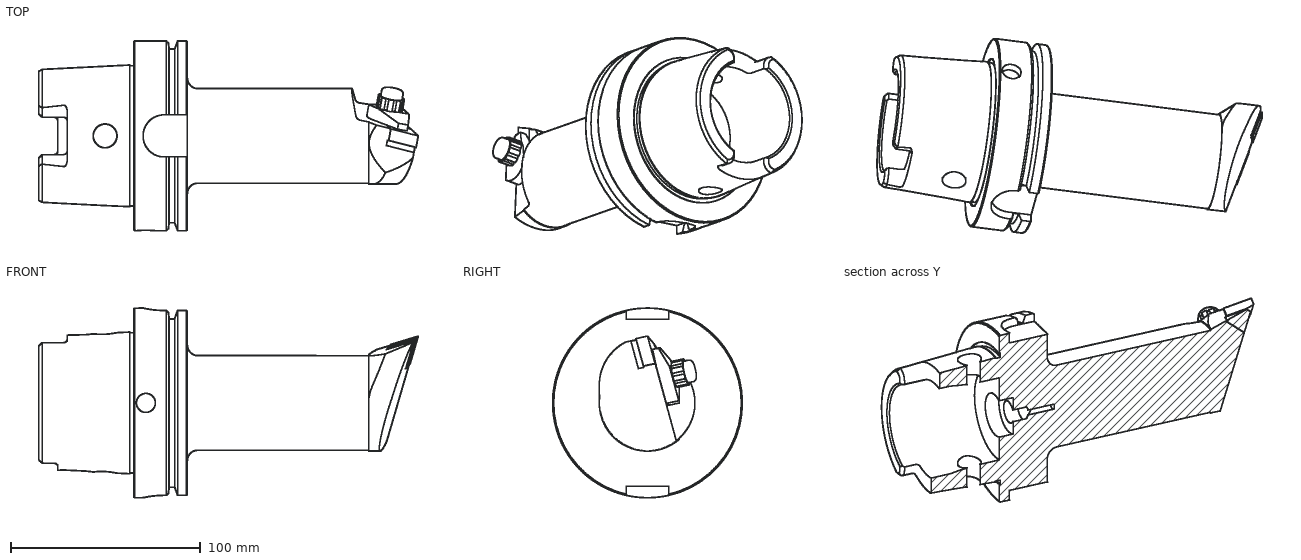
import cadquery as cq
import math


SHANK_LENGTH = 50.0
SHANK_BASE_RADIUS = 37.48
SHANK_TIP_RADIUS = 35.0
SHANK_TIP_CHAMFER = 2.0
RELIEF_WIDTH = 2.0
RELIEF_DEPTH = 0.5
FACE_RELIEF_RADIUS = 39.2
FACE_RELIEF_DEPTH = 0.5
BORE_RADIUS = 26.4
BORE_LENGTH = 21.4
MOUTH_CHAMFER = 1.0
INNER_BORE_RADIUS = 24.8
BORE_CONE_LENGTH = 13.5
WELL_RADIUS = 11.8
WELL_DEPTH = 8.0
COOLANT_RADIUS = 6.0
COOLANT_DEPTH = 16.0
OUTLET_RADIUS = 2.2
OUTLET_OFFSET = 3.2
OUTLET_DEPTH = 24.0
CROSS_HOLE_RADIUS = 6.2
CROSS_HOLE_X = -15.0

KEY_HALF_WIDTH = 9.8
KEY_LIP_RADIUS = 5.5
KEY_LIP_HEIGHT = 31.8
KEY_ROOT_FILLET = 1.8
KEY_END_CHAMFER = 1.8
KEY_DEPTH_TOP = 15.0
KEY_DEPTH_BOTTOM = 10.0

FLANGE_RADIUS = 50.0
FLANGE_LENGTH = 28.4
FLANGE_CHAMFER = 0.5
GROOVE_X = 20.2
GROOVE_BOTTOM_RADIUS = 45.8
GROOVE_BOTTOM_HALF = 1.4
GROOVE_TOP_HALF = 3.0
GROOVE_LEAD_CHAMFER = 1.2
SLOT_HALF_WIDTH = 11.1
SLOT_START_X = 5.0
SLOT_FLOOR_HEIGHT = 44.0
CHIP_HOLE_X = 6.5
CHIP_HOLE_RADIUS = 5.0
CHIP_HOLE_DEPTH = 4.5

NECK_RADIUS = 25.0
NECK_FILLET = 5.4
NECK_END_X = 123.7
HEAD_RADIUS = 25.4
HEAD_RISE = 9.4
HEAD_END_X = 160.0
HEAD_CONE_RADIUS = 25.4
HEAD_CONE_SLOPE = 0.78

TIP_X = 150.0
TIP_Z = 35.2
RAKE_NORMAL = cq.Vector(0.18, 0.96, 0.21).normalized()
LEAD_ANGLE = 19.0
TIP_ANGLE = 55.0
POCKET_WALL_X = 120.1
POCKET_WALL_NORMAL = cq.Vector(1.0, 0.21, 0.04)
POCKET_FILLET = 2.8
CUTTER_SIZE = 160.0

INSERT_EDGE = 15.5
INSERT_THICKNESS = 6.4
SHIM_THICKNESS = 3.0
SHIM_SETBACK = 0.5
HEAD_SETBACK = 0.4

SCREW_X = -16.8
SCREW_Y = -22.8
CLAMP_CENTER_Y = -27.2
CLAMP_RADIUS = 10.8
CLAMP_SETBACK = 1.2
NOSE_LEFT_X = -11.2
NOSE_Y = -7.4
NOSE_HEIGHT = 3.2
CLAMP_HEIGHT = 6.8
CLAMP_FLAT_Y = -18.0
CLAMP_BACK_Y = 16.5
COLLAR_RADIUS = 7.0
COLLAR_HEIGHT = 6.2
FLUTE_COUNT = 10
FLUTE_RADIUS = 0.8
CAP_RADIUS = 5.8
CAP_HEIGHT = 4.4
CAP_FILLET = 1.8

AXIAL = cq.Vector(1, 0, 0)
LEVEL = cq.Plane(
    origin=(TIP_X, 0, TIP_Z),
    xDir=AXIAL - RAKE_NORMAL * AXIAL.dot(RAKE_NORMAL),
    normal=RAKE_NORMAL * -1,
)


def revolved(points):
    """Solid of revolution about X from (x, radius) points."""
    return cq.Workplane("XY").polyline(points).close().revolve(360, (0, 0, 0), (1, 0, 0))


def shank_and_flange():
    taper = (SHANK_BASE_RADIUS - SHANK_TIP_RADIUS) / SHANK_LENGTH
    chamfer_x = -SHANK_LENGTH + SHANK_TIP_CHAMFER
    groove_lead_x = GROOVE_X + GROOVE_LEAD_CHAMFER - GROOVE_TOP_HALF
    relief_radius = SHANK_BASE_RADIUS - RELIEF_DEPTH
    return revolved([
        (-SHANK_LENGTH, 0),
        (-SHANK_LENGTH, SHANK_TIP_RADIUS - SHANK_TIP_CHAMFER / 2),
        (chamfer_x, SHANK_TIP_RADIUS + taper * SHANK_TIP_CHAMFER),
        (-RELIEF_WIDTH, SHANK_BASE_RADIUS - taper * RELIEF_WIDTH),
        (-RELIEF_WIDTH, relief_radius),
        (FACE_RELIEF_DEPTH, relief_radius),
        (FACE_RELIEF_DEPTH, FACE_RELIEF_RADIUS),
        (0, FACE_RELIEF_RADIUS),
        (0, FLANGE_RADIUS - FLANGE_CHAMFER),
        (FLANGE_CHAMFER, FLANGE_RADIUS),
        (groove_lead_x - GROOVE_LEAD_CHAMFER, FLANGE_RADIUS),
        (groove_lead_x, FLANGE_RADIUS - GROOVE_LEAD_CHAMFER),
        (GROOVE_X - GROOVE_BOTTOM_HALF, GROOVE_BOTTOM_RADIUS),
        (GROOVE_X + GROOVE_BOTTOM_HALF, GROOVE_BOTTOM_RADIUS),
        (GROOVE_X + GROOVE_TOP_HALF, FLANGE_RADIUS),
        (FLANGE_LENGTH - FLANGE_CHAMFER, FLANGE_RADIUS),
        (FLANGE_LENGTH, FLANGE_RADIUS - FLANGE_CHAMFER),
        (FLANGE_LENGTH, 0),
    ])


def neck():
    fillet_end = (FLANGE_LENGTH + NECK_FILLET, NECK_RADIUS)
    return (
        cq.Workplane("XY")
        .moveTo(FLANGE_LENGTH, 0)
        .lineTo(FLANGE_LENGTH, NECK_RADIUS + NECK_FILLET)
        .radiusArc(fillet_end, -NECK_FILLET)
        .lineTo(NECK_END_X, NECK_RADIUS)
        .lineTo(NECK_END_X, 0)
        .close()
        .revolve(360, (0, 0, 0), (1, 0, 0))
    )


def bore():
    cone_x = -SHANK_LENGTH + BORE_LENGTH
    return revolved([
        (-SHANK_LENGTH, 0),
        (-SHANK_LENGTH, BORE_RADIUS + MOUTH_CHAMFER),
        (-SHANK_LENGTH + MOUTH_CHAMFER, BORE_RADIUS),
        (cone_x, BORE_RADIUS),
        (cone_x + BORE_CONE_LENGTH, INNER_BORE_RADIUS),
        (0, INNER_BORE_RADIUS),
        (0, WELL_RADIUS),
        (WELL_DEPTH, WELL_RADIUS),
        (WELL_DEPTH, COOLANT_RADIUS),
        (COOLANT_DEPTH, COOLANT_RADIUS),
        (COOLANT_DEPTH + COOLANT_RADIUS, 0),
    ])


def coolant_outlet():
    return (
        cq.Workplane("YZ", origin=(WELL_DEPTH, -OUTLET_OFFSET, 0))
        .circle(OUTLET_RADIUS)
        .extrude(OUTLET_DEPTH)
    )


def keyway_outline():
    """Cross-section on the +Z side: straight walls that flare over the rounded driving lips."""
    lip_end = KEY_HALF_WIDTH + KEY_LIP_RADIUS
    lip_start = KEY_LIP_HEIGHT - KEY_LIP_RADIUS
    return (
        cq.Workplane("YZ", origin=(-SHANK_LENGTH, 0, 0))
        .moveTo(-KEY_HALF_WIDTH, 0)
        .lineTo(KEY_HALF_WIDTH, 0)
        .lineTo(KEY_HALF_WIDTH, lip_start)
        .radiusArc((lip_end, KEY_LIP_HEIGHT), KEY_LIP_RADIUS)
        .lineTo(SHANK_BASE_RADIUS, KEY_LIP_HEIGHT)
        .lineTo(SHANK_BASE_RADIUS, SHANK_BASE_RADIUS)
        .lineTo(-SHANK_BASE_RADIUS, SHANK_BASE_RADIUS)
        .lineTo(-SHANK_BASE_RADIUS, KEY_LIP_HEIGHT)
        .lineTo(-lip_end, KEY_LIP_HEIGHT)
        .radiusArc((-KEY_HALF_WIDTH, lip_start), KEY_LIP_RADIUS)
        .close()
    )


def keyway(depth):
    """Keyway with a rounded root and chamfered lip ends."""
    slot = keyway_outline().extrude(depth).faces(">X").edges().fillet(KEY_ROOT_FILLET)
    flare = keyway_outline().offset2D(KEY_END_CHAMFER).extrude(KEY_END_CHAMFER, taper=45)
    return slot.union(flare)


def flange_slot():
    """Round-ended slot on the +Z side of the flange, open toward the neck."""
    round_x = SLOT_START_X + SLOT_HALF_WIDTH
    run = FLANGE_LENGTH - round_x
    base = cq.Workplane("XY", origin=(round_x, 0, SLOT_FLOOR_HEIGHT))
    straight = base.center(run / 2, 0).rect(run, 2 * SLOT_HALF_WIDTH).extrude(FLANGE_RADIUS)
    return base.circle(SLOT_HALF_WIDTH).extrude(FLANGE_RADIUS).union(straight)


def chip_hole():
    return (
        cq.Workplane("XZ", origin=(CHIP_HOLE_X, CHIP_HOLE_DEPTH - FLANGE_RADIUS, 0))
        .circle(CHIP_HOLE_RADIUS)
        .extrude(FLANGE_RADIUS)
    )


def cross_hole():
    return (
        cq.Workplane("XY", origin=(CROSS_HOLE_X, 0, -FLANGE_RADIUS))
        .circle(CROSS_HOLE_RADIUS)
        .extrude(2 * FLANGE_RADIUS)
    )


def flank_corner(setback):
    """Corner point that lies `setback` behind both insert flanks along the tip bisector."""
    bisector = math.radians(180 + LEAD_ANGLE + TIP_ANGLE / 2)
    distance = setback / math.sin(math.radians(TIP_ANGLE / 2))
    return (distance * math.cos(bisector), distance * math.sin(bisector))


def along_edge(start, angle, length):
    direction = math.radians(180 + angle)
    return (start[0] + length * math.cos(direction), start[1] + length * math.sin(direction))


def rhombus(setback, edge):
    corner = flank_corner(setback)
    trailing = along_edge(corner, LEAD_ANGLE, edge)
    leading = along_edge(corner, LEAD_ANGLE + TIP_ANGLE, edge)
    far = along_edge(trailing, LEAD_ANGLE + TIP_ANGLE, edge)
    return [corner, trailing, far, leading]


def flank_wedge(setback):
    """Wedge between the two insert flanks, moved back from both of them by `setback`."""
    corner = flank_corner(setback)
    return (
        cq.Workplane(LEVEL)
        .polyline([
            corner,
            along_edge(corner, LEAD_ANGLE, CUTTER_SIZE),
            along_edge(corner, LEAD_ANGLE + TIP_ANGLE, CUTTER_SIZE),
        ])
        .close()
        .extrude(CUTTER_SIZE / 2, both=True)
    )


def head():
    """Upright slot-shaped block with a conical start, bounded by the two insert flanks."""
    length = HEAD_END_X - NECK_END_X
    profile = (
        cq.Workplane("YZ", origin=(NECK_END_X, 0, HEAD_RISE / 2))
        .slot2D(2 * HEAD_RADIUS + HEAD_RISE, 2 * HEAD_RADIUS, 90)
        .extrude(length)
    )
    cone = revolved([
        (NECK_END_X, 0),
        (NECK_END_X, HEAD_CONE_RADIUS),
        (HEAD_END_X, HEAD_CONE_RADIUS + HEAD_CONE_SLOPE * length),
        (HEAD_END_X, 0),
    ])
    return profile.intersect(cone).intersect(flank_wedge(HEAD_SETBACK))


def chip_pocket():
    """Everything outside the rake plane and beyond the pocket wall."""
    above_rake = cq.Workplane(LEVEL).rect(CUTTER_SIZE, CUTTER_SIZE).extrude(-CUTTER_SIZE / 2)
    wall = cq.Plane(
        origin=(POCKET_WALL_X, 0, 0),
        xDir=cq.Vector(0, 0, 1).cross(POCKET_WALL_NORMAL),
        normal=POCKET_WALL_NORMAL,
    )
    beyond_wall = cq.Workplane(wall).rect(CUTTER_SIZE, CUTTER_SIZE).extrude(CUTTER_SIZE / 2)
    inner_edge = cq.selectors.NearestToPointSelector((POCKET_WALL_X, 0, 0))
    return above_rake.intersect(beyond_wall).edges(inner_edge).fillet(POCKET_FILLET)


def insert():
    return cq.Workplane(LEVEL).polyline(rhombus(0, INSERT_EDGE)).close().extrude(INSERT_THICKNESS)


def shim():
    return (
        cq.Workplane(LEVEL)
        .workplane(offset=INSERT_THICKNESS)
        .polyline(rhombus(SHIM_SETBACK, INSERT_EDGE))
        .close()
        .extrude(SHIM_THICKNESS)
    )


def clamp():
    """Finger with a round back end, sloping down to a nose that presses on the insert."""
    right_x = SCREW_X + CLAMP_RADIUS
    nose_run = NOSE_LEFT_X - SCREW_X
    nose_rise = NOSE_Y - CLAMP_CENTER_Y
    nose_direction = math.atan2(nose_rise, nose_run)
    tangent = nose_direction + math.acos(CLAMP_RADIUS / math.hypot(nose_run, nose_rise))
    tangent_point = (
        SCREW_X + CLAMP_RADIUS * math.cos(tangent),
        CLAMP_CENTER_Y + CLAMP_RADIUS * math.sin(tangent),
    )
    outline = (
        cq.Workplane(LEVEL)
        .moveTo(right_x, CLAMP_CENTER_Y)
        .lineTo(right_x, NOSE_Y)
        .lineTo(NOSE_LEFT_X, NOSE_Y)
        .lineTo(*tangent_point)
        .threePointArc((SCREW_X, CLAMP_CENTER_Y - CLAMP_RADIUS), (right_x, CLAMP_CENTER_Y))
        .close()
        .extrude(-CLAMP_HEIGHT)
    )
    slope = (NOSE_HEIGHT - CLAMP_HEIGHT) / (NOSE_Y - CLAMP_FLAT_Y)
    side = cq.Plane(origin=LEVEL.origin, xDir=LEVEL.yDir, normal=LEVEL.xDir * -1)
    above_nose = (
        cq.Workplane(side)
        .polyline([
            (CLAMP_FLAT_Y, CLAMP_HEIGHT),
            (0, NOSE_HEIGHT + slope * -NOSE_Y),
            (0, CLAMP_HEIGHT),
        ])
        .close()
        .extrude(CUTTER_SIZE / 2, both=True)
    )
    behind_back = (
        cq.Workplane("XZ", origin=(TIP_X, CLAMP_BACK_Y, 0))
        .rect(CUTTER_SIZE, CUTTER_SIZE)
        .extrude(-CUTTER_SIZE)
    )
    return outline.cut(above_nose).cut(behind_back).intersect(flank_wedge(CLAMP_SETBACK))


def clamp_screw():
    """Fluted collar with a smaller rounded cap, standing on the clamp."""
    seat = cq.Workplane(LEVEL).workplane(offset=-CLAMP_HEIGHT).center(SCREW_X, SCREW_Y)
    collar = seat.circle(COLLAR_RADIUS).extrude(-COLLAR_HEIGHT)
    flutes = (
        seat.polarArray(COLLAR_RADIUS, 0, 360, FLUTE_COUNT)
        .circle(FLUTE_RADIUS)
        .extrude(-COLLAR_HEIGHT)
    )
    cap = (
        seat.workplane(offset=-COLLAR_HEIGHT)
        .circle(CAP_RADIUS)
        .extrude(-CAP_HEIGHT)
        .faces(cq.selectors.DirectionMinMaxSelector(RAKE_NORMAL, True))
        .edges()
        .fillet(CAP_FILLET)
    )
    return collar.cut(flutes).union(cap)


def holder(*seated):
    body = shank_and_flange().union(neck()).union(head())
    lower_keyway = keyway(KEY_DEPTH_BOTTOM).rotate((0, 0, 0), (1, 0, 0), 180)
    lower_slot = flange_slot().rotate((0, 0, 0), (1, 0, 0), 180)
    cuts = [
        bore(), coolant_outlet(), keyway(KEY_DEPTH_TOP), lower_keyway,
        flange_slot(), lower_slot, chip_hole(), cross_hole(), chip_pocket(),
    ]
    for cutter in [*cuts, *seated]:
        body = body.cut(cutter)
    return body


insert_body = insert()
shim_body = shim()
holder_body = holder(insert_body, shim_body)
clamp_body = clamp()
screw_body = clamp_screw()

result = cq.Compound.makeCompound([
    holder_body.val(),
    insert_body.val(),
    shim_body.val(),
    clamp_body.val(),
    screw_body.val(),
])